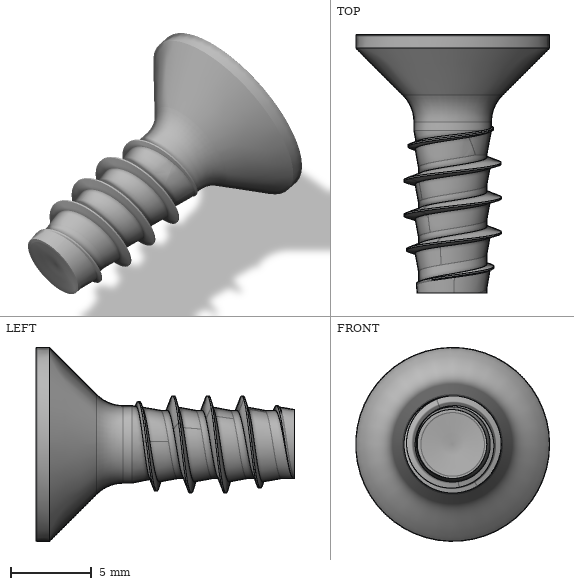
import cadquery as cq
import math

length = 16.0
head_radius = 6.0
head_band = 0.83
head_edge_fillet = 0.08
neck_radius = 2.4
neck_fillet_radius = 2.34
neck_end = 5.94
neck_taper_end = 7.44
core_radius = 2.11

pitch = 2.15
crest_radius = 3.0
back_radius = 2.32
crest_half_width = 0.05
head_flank_reach = 0.38
tip_flank_reach = 0.24
back_reach = 1.52
foot_radius = 2.08
buried_radius = 1.84
phase_depth = 8.5

thread_start = 3.84
lead_in_start = 5.28
lead_in_end = 7.97
run_out_start = 12.77
run_out_end = 15.92
thread_end = run_out_end
points_per_piece = 12
pieces = 12

dish_radius = 1.97
dish_depth = 0.24


def make_body():
    """Head, cone, filleted and tapered neck and plain core, revolved about Y."""
    slant = math.sqrt(0.5)
    arc_top_radius = neck_radius + neck_fillet_radius * (1 - slant)
    arc_top = head_band + head_radius - arc_top_radius
    arc_end = arc_top + neck_fillet_radius * slant
    arc_mid_angle = math.radians(22.5)
    arc_mid = (
        neck_radius + neck_fillet_radius * (1 - math.cos(arc_mid_angle)),
        -arc_end + neck_fillet_radius * math.sin(arc_mid_angle),
    )
    body = (
        cq.Workplane("XY")
        .lineTo(head_radius, 0)
        .lineTo(head_radius, -head_band)
        .lineTo(arc_top_radius, -arc_top)
        .threePointArc(arc_mid, (neck_radius, -arc_end))
        .lineTo(neck_radius, -neck_end)
        .lineTo(core_radius, -neck_taper_end)
        .lineTo(core_radius, -length)
        .lineTo(0, -length)
        .close()
        .revolve(360, (0, 0, 0), (0, 1, 0))
    )
    return body.faces(">Y").edges().fillet(head_edge_fillet)


def crest_radius_at(depth):
    """Crest radius, rising over the lead-in and falling over the run-out."""
    lead_in = (depth - lead_in_start) / (lead_in_end - lead_in_start)
    run_out = (run_out_end - depth) / (run_out_end - run_out_start)
    rising = max(back_radius, neck_radius + (crest_radius - neck_radius) * lead_in)
    falling = core_radius + (crest_radius - core_radius) * run_out
    return min(crest_radius, rising, falling)


def ridge_section(depth):
    """Corners (radius, axial offset toward the tip) of the ridge at a crest depth."""
    crest = crest_radius_at(depth)
    height = (crest - core_radius) / (crest_radius - core_radius)
    size = max(height, 0.1)
    back = min(back_radius, crest)
    head_foot = crest_half_width + (head_flank_reach - crest_half_width) * size
    tip_foot = crest_half_width + (tip_flank_reach - crest_half_width) * size
    return [
        (buried_radius, -head_foot),
        (foot_radius, -head_foot),
        (crest, -crest_half_width),
        (crest, crest_half_width),
        (back, tip_foot),
        (foot_radius, back_reach),
        (buried_radius, back_reach),
    ]


def ridge_corners(depth):
    """Ridge section placed in space, turned about Y to suit its depth."""
    angle = 2 * math.pi * (depth - phase_depth) / pitch
    return [
        cq.Vector(-radius * math.sin(angle), -depth - offset, radius * math.cos(angle))
        for radius, offset in ridge_section(depth)
    ]


def make_thread_piece(start, end):
    """Stretch of ridge bounded by ruled faces between helical corner curves."""
    depths = [start + (end - start) * i / points_per_piece for i in range(points_per_piece + 1)]
    corner_paths = list(zip(*[ridge_corners(depth) for depth in depths]))
    curves = [cq.Edge.makeSpline(list(path)) for path in corner_paths]
    next_curves = curves[1:] + curves[:1]
    faces = [cq.Face.makeRuledSurface(a, b) for a, b in zip(curves, next_curves)]
    for corners in (ridge_corners(start), ridge_corners(end)):
        outline = cq.Wire.makePolygon(corners, close=True)
        faces.append(cq.Face.makeFromWires(outline))
    return cq.Solid.makeSolid(cq.Shell.makeShell(faces)).fix()


def make_tip_dish():
    """Shallow conical hollow in the tip face."""
    return (
        cq.Workplane("XY")
        .moveTo(0, -length)
        .lineTo(dish_radius, -length)
        .lineTo(0, -length + dish_depth)
        .close()
        .revolve(360, (0, 0, 0), (0, 1, 0))
    )


screw = make_body()
piece_length = (thread_end - thread_start) / pieces
for piece in range(pieces):
    piece_start = thread_start + piece * piece_length
    screw = screw.union(cq.Workplane(make_thread_piece(piece_start, piece_start + piece_length)))

envelope = cq.Workplane("XZ").circle(2 * head_radius).extrude(length)
result = screw.intersect(envelope).cut(make_tip_dish())